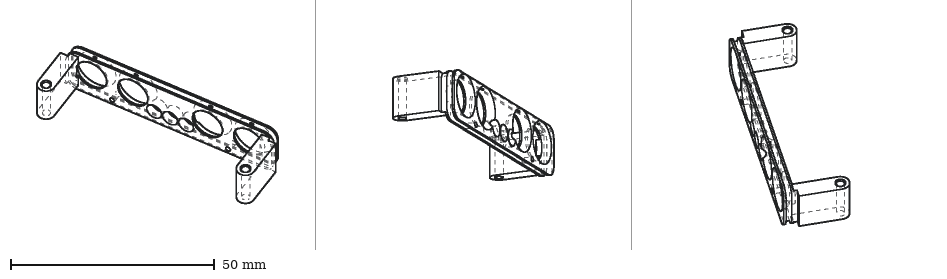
import cadquery as cq
import math

plate_length = 58.3
plate_height = 12.7
plate_thickness = 2.55
corner_radius = 3.0
groove_radius = 0.75
groove_y = -plate_thickness / 2

window_diameter = 8.5
window_back_diameter = 10.8
window_lip = 0.52
cone_depth = plate_thickness - window_lip
cone_step = (window_back_diameter - window_diameter) / 2
window_inner_x = 10.55
window_outer_x = 22.2
window_z = 0.85

center_hole_diameter = 4.2
center_hole_pitch = 4.5
center_hole_z = -2.7
screw_hole_diameter = 1.3
screw_hole_x = 16.4
screw_hole_z = -4.95

overall_length = 61.05
overall_depth = 16.7
arm_width = 4.6
arm_top = 5.45
arm_bottom = -4.7
arm_height = arm_top - arm_bottom
neck_length = 0.9
arm_back_y = -(plate_thickness + neck_length)
arm_x = (overall_length - arm_width) / 2
pivot_y = -overall_depth + arm_width / 2
pivot_hole_diameter = 2.0
pivot_chamfer = 0.3


def rounded_slab(length, height, radius, thickness):
    """Rounded rectangle in XZ, running from y = 0 towards the front."""
    return (
        cq.Workplane("XZ")
        .rect(length, height)
        .extrude(thickness)
        .edges("|Y")
        .fillet(radius)
    )


def front_cylinders(points, diameter, depth):
    """Cylinders from y = 0 towards the front at the given (x, z) points."""
    return cq.Workplane("XZ").pushPoints(points).circle(diameter / 2).extrude(depth)


def window_cones(points):
    """Cones that narrow from the back face to the front lip of each window."""
    return (
        cq.Workplane("XZ")
        .pushPoints(points)
        .circle(window_back_diameter / 2)
        .extrude(cone_depth, taper=math.degrees(math.atan(cone_step / cone_depth)))
    )


def edge_groove():
    """Half-round channel that runs around the plate rim."""
    outline = rounded_slab(plate_length, plate_height, corner_radius, -groove_y).faces("<Y").wires()
    return (
        cq.Workplane("YZ", origin=(0, groove_y, plate_height / 2))
        .circle(groove_radius)
        .sweep(cq.Workplane(outline.val()))
    )


def plate_with_necks():
    """Plate and the necks towards the arms, all cut to one rounded outline."""
    stock = cq.Workplane("XZ").rect(plate_length, plate_height).extrude(plate_thickness)
    for side in (-1, 1):
        neck = (
            cq.Workplane("XY")
            .box(arm_width, -arm_back_y, arm_height, centered=(True, False, False))
            .translate((side * arm_x, arm_back_y, arm_bottom))
        )
        stock = stock.union(neck)
    return stock.intersect(rounded_slab(plate_length, plate_height, corner_radius, -arm_back_y))


def arm(x):
    """Arm with its rounded, bored end."""
    block_length = arm_back_y - pivot_y
    block = cq.Workplane("XY").box(arm_width, block_length, arm_height, centered=(True, False, False))
    block = block.translate((x, pivot_y, arm_bottom))
    end = cq.Workplane("XY", origin=(x, pivot_y, arm_bottom)).circle(arm_width / 2).extrude(arm_height)
    bore = (
        cq.Workplane("XY", origin=(x, pivot_y, arm_bottom))
        .circle(pivot_hole_diameter / 2)
        .extrude(arm_height)
    )
    countersink = (
        cq.Workplane("XY", origin=(x, pivot_y, arm_top))
        .circle(pivot_hole_diameter / 2 + pivot_chamfer)
        .extrude(-pivot_chamfer, taper=45)
    )
    return block.union(end).cut(bore).cut(countersink)


windows = [(x, window_z) for x in (-window_outer_x, -window_inner_x, window_inner_x, window_outer_x)]
center_holes = [(i * center_hole_pitch, center_hole_z) for i in (-1, 0, 1)]
screw_holes = [(side * screw_hole_x, screw_hole_z) for side in (-1, 1)]

result = (
    plate_with_necks()
    .cut(edge_groove())
    .union(arm(-arm_x))
    .union(arm(arm_x))
    .cut(front_cylinders(windows, window_diameter, -arm_back_y))
    .cut(window_cones(windows))
    .cut(front_cylinders(center_holes, center_hole_diameter, plate_thickness))
    .cut(front_cylinders(screw_holes, screw_hole_diameter, plate_thickness))
)